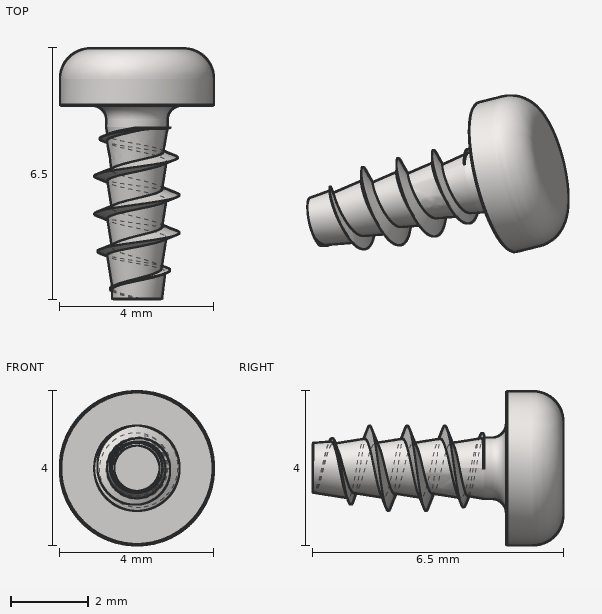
import cadquery as cq
import math


head_diameter = 4.0
head_radius = head_diameter / 2
head_height = 1.495
dome_radius = 0.8
rim_chamfer = 0.04

total_length = 6.5
shank_length = total_length - head_height
neck_radius = 0.8
neck_fillet = 0.35
neck_length = 0.55
tip_radius = 0.625
tip_face_radius = 0.585
tip_edge_length = 0.01
tip_overrun = 1.3

pitch = 0.975
thread_start_depth = 0.36
first_crest_depth = neck_length + 0.005
full_height_depth = 1.58
runout_depth = 3.53
thread_end_depth = 4.965
start_crest_radius = 0.87
crest_radius = 1.105
end_crest_radius = 0.625
flank_angle = 20.0
thread_root_radius = 0.585
points_per_turn = 16

land_start_depth = 0.53
land_fade_depth = 4.03
land_length = 0.94
land_high_radius = 0.785
land_low_radius = 0.64
land_end_radius = 0.61
taper_length = 0.91


def make_body():
    """Revolve the domed head, filleted neck and tapered shank about Y."""
    diagonal = math.sqrt(0.5)
    dome_mid = (
        head_radius - dome_radius * (1 - diagonal),
        head_height - dome_radius * (1 - diagonal),
    )
    fillet_mid = (
        neck_radius + neck_fillet * (1 - diagonal),
        -neck_fillet * (1 - diagonal),
    )
    return (
        cq.Workplane("XY")
        .moveTo(0, head_height)
        .lineTo(head_radius - dome_radius, head_height)
        .threePointArc(dome_mid, (head_radius, head_height - dome_radius))
        .lineTo(head_radius, rim_chamfer)
        .lineTo(head_radius - rim_chamfer, 0)
        .lineTo(neck_radius + neck_fillet, 0)
        .threePointArc(fillet_mid, (neck_radius, -neck_fillet))
        .lineTo(neck_radius, -neck_length)
        .lineTo(land_low_radius, -neck_length - taper_length)
        .lineTo(tip_radius, -shank_length - tip_overrun)
        .lineTo(0, -shank_length - tip_overrun)
        .close()
        .revolve(360, (0, 0, 0), (0, 1, 0))
    )


def polar_point(depth, radius, helix_depth):
    """Point at a depth and radius, turned to where the right-hand helix has a given depth."""
    angle = 2 * math.pi * (helix_depth - thread_start_depth) / pitch
    return cq.Vector(radius * math.cos(angle), -depth, radius * math.sin(angle))


def blend(start, end, fraction):
    """Value at a fraction of the way from start to end."""
    return start + fraction * (end - start)


def thread_section(depth, crest):
    """V-shaped thread section; the first part of the crest runs flat along the neck."""
    half_width = (crest - thread_root_radius) * math.tan(math.radians(flank_angle))
    crest_depth = max(depth, first_crest_depth)
    return (
        polar_point(crest_depth - half_width, thread_root_radius, depth),
        polar_point(crest_depth, crest, depth),
        polar_point(crest_depth + half_width, thread_root_radius, depth),
    )


def land_section(depth, high_radius, low_radius):
    """Land section falling from one thread turn towards the next."""
    far_depth = depth + land_length
    return (
        polar_point(depth, thread_root_radius, depth),
        polar_point(depth, high_radius, depth),
        polar_point(far_depth, low_radius, depth),
        polar_point(far_depth, thread_root_radius, depth),
    )


def make_helical_solid(section, start_depth, end_depth, start_radii, end_radii):
    """Solid through helical sections whose radii change evenly between two depths."""
    steps = math.ceil(points_per_turn * (end_depth - start_depth) / pitch)
    sections = []
    for i in range(steps + 1):
        fraction = i / steps
        radii = [blend(start, end, fraction) for start, end in zip(start_radii, end_radii)]
        sections.append(section(blend(start_depth, end_depth, fraction), *radii))
    edges = [cq.Edge.makeSpline(list(line)) for line in zip(*sections)]
    faces = [
        cq.Face.makeRuledSurface(edge, next_edge)
        for edge, next_edge in zip(edges, edges[1:] + edges[:1])
    ]
    for end_section in (sections[0], sections[-1]):
        faces.append(cq.Face.makeFromWires(cq.Wire.makePolygon(end_section, close=True)))
    solid = cq.Solid.makeSolid(cq.Shell.makeShell(faces)).fix()
    return cq.Workplane(obj=solid)


def make_thread_limits():
    """Cylinder from the end of the neck past the tip, wide enough to hold the thread."""
    return (
        cq.Workplane("XZ", origin=(0, -neck_length, 0))
        .circle(head_radius)
        .extrude(total_length)
    )


def make_tip_cutter():
    """Revolved cutter that leaves a flat tip face with a shallow conical edge."""
    edge_slope = tip_edge_length / (tip_radius - tip_face_radius)
    rim_depth = shank_length - edge_slope * (crest_radius - tip_face_radius)
    return (
        cq.Workplane("XY")
        .moveTo(0, -shank_length)
        .lineTo(tip_face_radius, -shank_length)
        .lineTo(crest_radius, -rim_depth)
        .lineTo(crest_radius, -total_length)
        .lineTo(0, -total_length)
        .close()
        .revolve(360, (0, 0, 0), (0, 1, 0))
    )


land_radii = (land_high_radius, land_low_radius)
land_end_radii = (land_end_radius, land_end_radius)
helical_stretches = [
    (land_section, land_start_depth, land_fade_depth, land_radii, land_radii),
    (land_section, land_fade_depth, thread_end_depth, land_radii, land_end_radii),
    (thread_section, thread_start_depth, full_height_depth, (start_crest_radius,), (crest_radius,)),
    (thread_section, full_height_depth, runout_depth, (crest_radius,), (crest_radius,)),
    (thread_section, runout_depth, thread_end_depth, (crest_radius,), (end_crest_radius,)),
]

thread_limits = make_thread_limits()
result = make_body()
for stretch in helical_stretches:
    result = result.union(make_helical_solid(*stretch).intersect(thread_limits))
result = result.cut(make_tip_cutter())